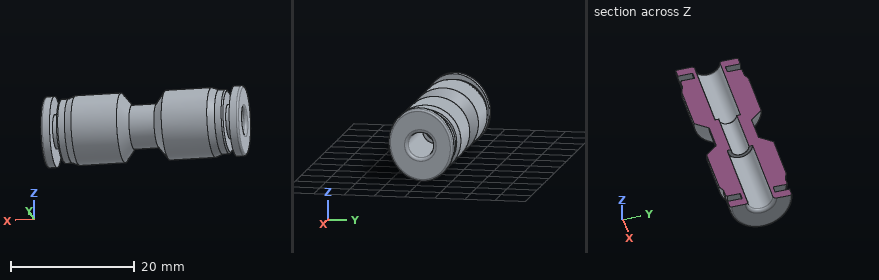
import cadquery as cq

length = 32.8
half_length = length / 2

flange_thickness = 1.5
flange_height = 11.97
flange_width = 10.5
flange_edge_radius = 0.33
left_flange_turn = 18.4
right_flange_turn = 12.6

stem_diameter = 5.6
collar_start = 2.6
collar_diameter = 10.5
collar_chamfer = 0.25
collar_end = 3.97
barrel_start = 5.15
barrel_end = 12.7
barrel_diameter = 11.4
neck_start = 14.35
neck_diameter = 7.2

bore_diameter = 3.0
socket_diameter = 4.2
socket_depth = 12.7
socket_lip_radius = 0.52


def turned_half():
    """Revolved body from the left flange to the middle of the neck."""
    collar_radius = collar_diameter / 2
    outline = [
        (0, stem_diameter / 2),
        (collar_start, stem_diameter / 2),
        (collar_start, collar_radius - collar_chamfer),
        (collar_start + collar_chamfer, collar_radius),
        (collar_end, collar_radius),
        (barrel_start, barrel_diameter / 2),
        (barrel_end, barrel_diameter / 2),
        (neck_start, neck_diameter / 2),
        (half_length, neck_diameter / 2),
    ]
    profile = cq.Workplane("XY").moveTo(-half_length, 0)
    for distance, radius in outline:
        profile = profile.lineTo(distance - half_length, radius)
    profile = profile.lineTo(0, 0).close()
    return profile.revolve(360, (0, 0, 0), (1, 0, 0))


def left_flange(turn):
    """Oval flange at the left end with a rounded outer edge."""
    return (
        cq.Workplane("YZ", origin=(-half_length, 0, 0))
        .ellipse(flange_width / 2, flange_height / 2)
        .extrude(flange_thickness)
        .faces("<X").edges().fillet(flange_edge_radius)
        .rotate((0, 0, 0), (1, 0, 0), turn)
    )


def left_socket():
    """Tube socket whose mouth is widened by a rounded lip."""
    radius = socket_diameter / 2
    lip = socket_lip_radius
    return (
        cq.Workplane("XY").moveTo(-half_length, 0)
        .lineTo(-half_length, radius + lip)
        .radiusArc((-half_length + lip, radius), -lip)
        .lineTo(-half_length + socket_depth, radius)
        .lineTo(-half_length + socket_depth, 0)
        .close()
        .revolve(360, (0, 0, 0), (1, 0, 0))
    )


def mirrored(shape):
    """Copy of a left-hand shape at the right end."""
    return shape.mirror("YZ")


body = turned_half().union(mirrored(turned_half()))
body = body.union(left_flange(left_flange_turn))
body = body.union(mirrored(left_flange(right_flange_turn)))

bore = (
    cq.Workplane("YZ", origin=(-half_length, 0, 0))
    .circle(bore_diameter / 2)
    .extrude(length)
)
body = body.cut(bore)
result = body.cut(left_socket()).cut(mirrored(left_socket()))